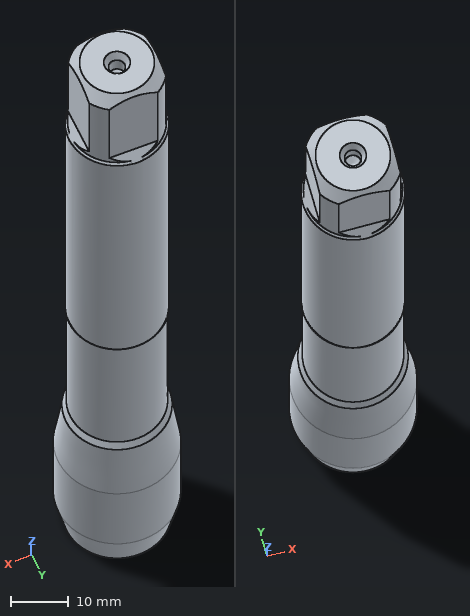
import cadquery as cq
import math

total_length = 140.0

head_dia = 22.3
tip_dia = 19.0
tip_length = 7.0
taper_start_z = 22.5
taper_top_dia = 19.2
taper_top_z = 33.9
head_top_z = 35.1

neck_dia = 17.6
shank_dia = 18.0
shank_bottom_z = 63.8
bottom_chamfer_height = 0.4
shank_top_z = 121.2
top_chamfer_height = 0.4

drive_dia = 17.2
across_flats = 14.5
flat_bottom_z = 122.9
drive_face_dia = 13.0
drive_chamfer_height = 2.1

hole_dia = 3.0
hole_mouth_dia = 4.6
mouth_half_angle = 30.0
hole_depth = 4.2
drill_half_angle = 60.0


def revolve_profile(points):
    """Turn a closed half outline of (radius, z) points about the Z axis."""
    return cq.Workplane("XZ").polyline(points).close().revolve(360, (0, 0, 0), (0, 1, 0))


def make_head():
    """Threading head: chamfered tip, full cylinder and a taper up to the neck."""
    return revolve_profile([
        (0, 0),
        (tip_dia / 2, 0),
        (head_dia / 2, tip_length),
        (head_dia / 2, taper_start_z),
        (taper_top_dia / 2, taper_top_z),
        (neck_dia / 2, head_top_z),
        (0, head_top_z),
    ])


def make_turned_shank():
    """Neck, shank and the round blank of the drive end."""
    return revolve_profile([
        (0, head_top_z),
        (neck_dia / 2, head_top_z),
        (neck_dia / 2, shank_bottom_z),
        (shank_dia / 2, shank_bottom_z + bottom_chamfer_height),
        (shank_dia / 2, shank_top_z),
        (drive_dia / 2, shank_top_z + top_chamfer_height),
        (drive_dia / 2, total_length - drive_chamfer_height),
        (drive_face_dia / 2, total_length),
        (0, total_length),
    ])


def make_flat_cutter():
    """Material removed for one drive flat, with a 45 degree run-out at its foot."""
    flat_offset = across_flats / 2
    reach = shank_dia / 2 - flat_offset
    return (
        cq.Workplane("XZ")
        .polyline([
            (flat_offset, flat_bottom_z),
            (flat_offset + reach, flat_bottom_z - reach),
            (flat_offset + reach, total_length),
            (flat_offset, total_length),
        ])
        .close()
        .extrude(shank_dia / 2, both=True)
    )


def make_centre_hole():
    """Blind hole with a conical mouth and a drill-point bottom."""
    mouth_depth = (hole_mouth_dia - hole_dia) / 2 / math.tan(math.radians(mouth_half_angle))
    point_depth = hole_dia / 2 / math.tan(math.radians(drill_half_angle))
    return revolve_profile([
        (0, total_length),
        (hole_mouth_dia / 2, total_length),
        (hole_dia / 2, total_length - mouth_depth),
        (hole_dia / 2, total_length - hole_depth),
        (0, total_length - hole_depth - point_depth),
    ])


def make_shank():
    """Neck and shank with a square drive and a centre hole."""
    shank = make_turned_shank()
    flat_count = 4
    for i in range(flat_count):
        shank = shank.cut(make_flat_cutter().rotate((0, 0, 0), (0, 0, 1), i * 360 / flat_count))
    return shank.cut(make_centre_hole())


head = make_head()
shank = make_shank()

result = cq.Compound.makeCompound([head.val(), *shank.vals()])